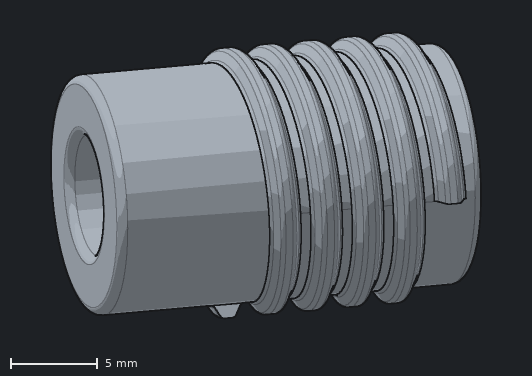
import cadquery as cq
import math

length = 22.0
core_radius = 7.0
bore_radius = 3.5
rim_radius = 0.5

thread_radius = 7.8
thread_start = 8.0
thread_end = 20.0
turns = 4.8
pitch = (thread_end - thread_start) / turns
start_angle = -360 * turns
flank_angle = math.radians(30)
crest_round = 0.3
root_round = 0.3
root_sink = 0.01
root_overlap = 0.33


def make_core():
    """Hollow cylinder built along Z with all four rims rounded."""
    tube = cq.Workplane("XY").circle(core_radius).circle(bore_radius).extrude(length)
    return tube.faces("<Z or >Z").edges().fillet(rim_radius)


def ridge_profile():
    """Radial section of the ridge: rounded crest, straight flanks, root fillets running into the core."""
    depth = thread_radius - core_radius
    flank_half_run = depth / 2 * math.tan(flank_angle)
    crest_half_width = pitch / 4 - flank_half_run
    root_half_width = pitch / 4 + flank_half_run

    turn = math.pi / 2 - flank_angle
    half_turn = turn / 2
    crest_tangent = crest_round * math.tan(half_turn)
    root_tangent = root_round * math.tan(half_turn)

    crest_end = crest_half_width - crest_tangent
    root_end = root_half_width + root_tangent
    crest_centre = thread_radius - crest_round
    root_centre = core_radius - root_sink + root_round

    def crest_point(angle, side):
        return (
            crest_centre + crest_round * math.cos(angle),
            side * (crest_end + crest_round * math.sin(angle)),
        )

    def root_point(angle, side):
        return (
            root_centre - root_round * math.cos(angle),
            side * (root_end - root_round * math.sin(angle)),
        )

    return (
        cq.Workplane("XZ")
        .moveTo(core_radius - root_overlap, -root_end)
        .lineTo(*root_point(0, -1))
        .threePointArc(root_point(half_turn, -1), root_point(turn, -1))
        .lineTo(*crest_point(turn, -1))
        .threePointArc(crest_point(half_turn, -1), crest_point(0, -1))
        .lineTo(*crest_point(0, 1))
        .threePointArc(crest_point(half_turn, 1), crest_point(turn, 1))
        .lineTo(*root_point(turn, 1))
        .threePointArc(root_point(half_turn, 1), root_point(0, 1))
        .lineTo(core_radius - root_overlap, root_end)
        .close()
    )


def make_thread():
    """Helical ridge built along Z, turned to its starting angle."""
    helix = cq.Wire.makeHelix(pitch, thread_end - thread_start, core_radius)
    ridge = ridge_profile().sweep(cq.Workplane(helix), isFrenet=True)
    return ridge.rotate((0, 0, 0), (0, 0, 1), start_angle).translate((0, 0, thread_start))


result = make_core().union(make_thread()).rotate((0, 0, 0), (1, 0, 0), -90)